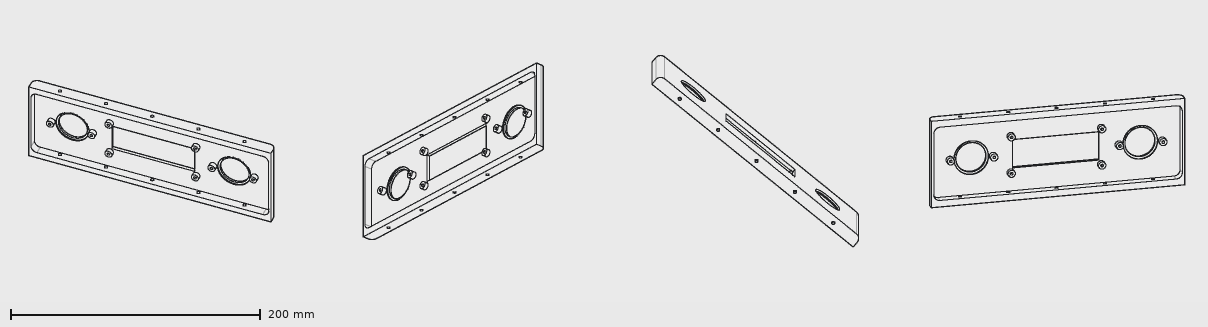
import cadquery as cq
import math

length = 210.0
depth = 10.0
height = 74.0
back_corner_radius = 5.0

end_wall = 2.0
long_wall = 5.7
floor_thickness = 3.0
pocket_corner_radius = 5.0

opening_spacing = 140.0
opening_diameter = 25.0
step_diameter = 28.5
step_depth = 1.0

window_width = 71.8
window_height = 24.2
window_center_z = 0.2

boss_diameter = 6.0
opening_boss_height = 4.0
window_boss_height = 3.4
boss_hole_diameter = 2.0
drill_tip_angle = 118.0
opening_boss_span = 36.0
window_boss_span_x = 75.0
window_boss_span_z = 31.0

wall_hole_diameter = 2.5
wall_hole_count = 5
wall_hole_span = 160.0
wall_hole_pitch = wall_hole_span / (wall_hole_count - 1)

back_y = depth / 2
floor_y = back_y - floor_thickness
pocket_depth = depth - floor_thickness

opening_centers = [(side * opening_spacing / 2, 0) for side in (-1, 1)]
opening_boss_centers = [
    (x + side * opening_boss_span / 2, z)
    for x, z in opening_centers
    for side in (-1, 1)
]
window_boss_centers = [
    (side_x * window_boss_span_x / 2, side_z * window_boss_span_z / 2)
    for side_x in (-1, 1)
    for side_z in (-1, 1)
]


def plane_at(y):
    """XZ sketch plane at the given Y; positive extrusion runs toward -Y."""
    return cq.Workplane("XZ", origin=(0, y, 0))


def make_tray():
    body = cq.Workplane("XY").box(length, depth, height)
    body = body.edges("|Z and >Y").fillet(back_corner_radius)
    pocket = (
        plane_at(floor_y)
        .rect(length - 2 * end_wall, height - 2 * long_wall)
        .extrude(pocket_depth)
        .edges("|Y")
        .fillet(pocket_corner_radius)
    )
    return body.cut(pocket)


def make_openings():
    holes = plane_at(back_y).pushPoints(opening_centers).circle(opening_diameter / 2).extrude(depth)
    steps = (
        plane_at(floor_y + step_depth)
        .pushPoints(opening_centers)
        .circle(step_diameter / 2)
        .extrude(step_depth)
    )
    return holes.union(steps)


def make_window():
    return (
        plane_at(back_y)
        .center(0, window_center_z)
        .rect(window_width, window_height)
        .extrude(floor_thickness)
    )


def make_bosses(centers, boss_height):
    return plane_at(floor_y).pushPoints(centers).circle(boss_diameter / 2).extrude(boss_height)


def make_boss_holes(centers, boss_height):
    """Blind holes as deep as the boss, each with a conical drill tip in the floor."""
    hole_radius = boss_hole_diameter / 2
    tip_depth = hole_radius / math.tan(math.radians(drill_tip_angle / 2))
    drill = (
        cq.Workplane("XY")
        .moveTo(0, floor_y - boss_height)
        .lineTo(hole_radius, floor_y - boss_height)
        .lineTo(hole_radius, floor_y)
        .lineTo(0, floor_y + tip_depth)
        .close()
        .revolve(360, (0, 0, 0), (0, 1, 0))
    )
    holes = cq.Workplane("XY")
    for x, z in centers:
        holes = holes.add(drill.translate((x, 0, z)))
    return holes.combine()


def make_wall_holes():
    return (
        cq.Workplane("XY", origin=(0, 0, -height / 2))
        .rarray(wall_hole_pitch, 2, wall_hole_count, 1)
        .circle(wall_hole_diameter / 2)
        .extrude(height)
    )


result = make_tray().cut(make_wall_holes()).cut(make_openings()).cut(make_window())

for centers, boss_height in (
    (opening_boss_centers, opening_boss_height),
    (window_boss_centers, window_boss_height),
):
    result = result.union(make_bosses(centers, boss_height))
    result = result.cut(make_boss_holes(centers, boss_height))